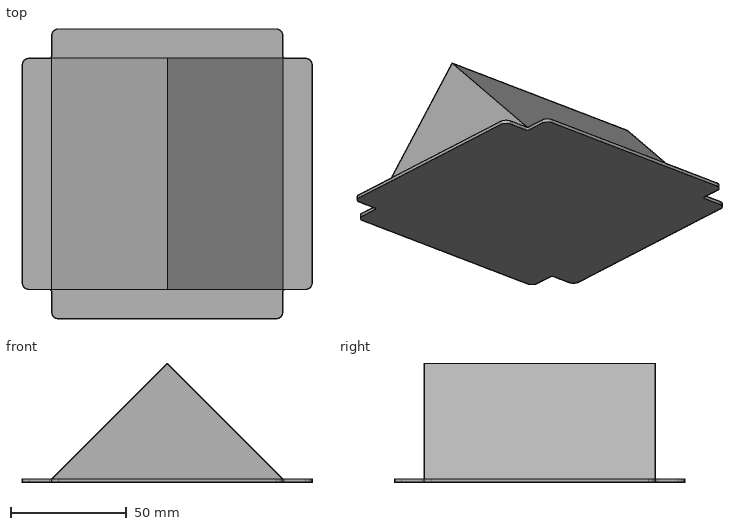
import cadquery as cq

prism_side = 100.0
prism_height = prism_side / 2
plate_thickness = 1.5
tab_width = 12.7
tab_corner_radius = 3.0
notch_corner_radius = 1.0

overall_side = prism_side + 2 * tab_width


def tab_strip(length_x, length_y):
    """Flat rounded strip forming two opposite tabs."""
    return (
        cq.Workplane("XY")
        .rect(length_x, length_y)
        .extrude(plate_thickness)
        .edges("|Z")
        .fillet(tab_corner_radius)
    )


def cross_plate():
    """Cross-shaped base plate with rounded inside corners."""
    plate = tab_strip(overall_side, prism_side).union(tab_strip(prism_side, overall_side))
    half_side = prism_side / 2
    box_half = notch_corner_radius / 2
    inside_corners = cq.selectors.BoxSelector(
        (-half_side - box_half, -half_side - box_half, 0),
        (half_side + box_half, half_side + box_half, plate_thickness),
    )
    return plate.edges("|Z").edges(inside_corners).fillet(notch_corner_radius)


def prism():
    """Triangular prism on the plate, ridge running along Y."""
    return (
        cq.Workplane("XZ")
        .moveTo(-prism_side / 2, plate_thickness)
        .lineTo(prism_side / 2, plate_thickness)
        .lineTo(0, plate_thickness + prism_height)
        .close()
        .extrude(prism_side / 2, both=True)
    )


result = cross_plate().union(prism())